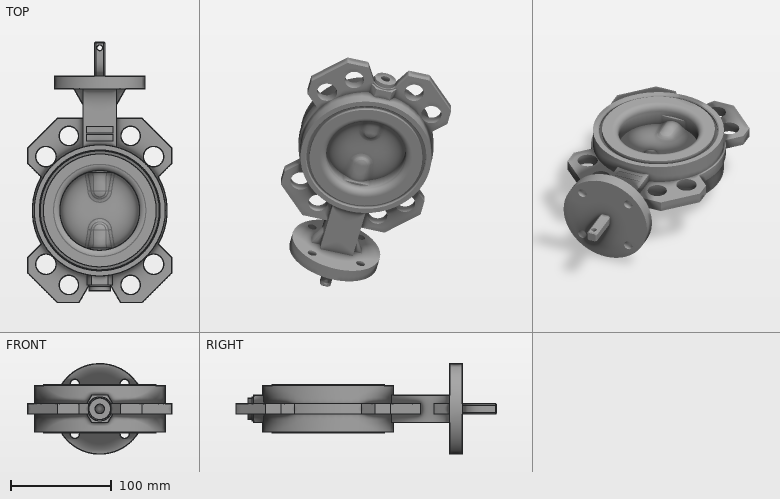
import cadquery as cq
import math


BODY_RADIUS = 65.0
BODY_HEIGHT = 46.2
PLATE_THICKNESS = 10.4
PLATE_RIM_RADIUS = 67.0
PLATE_HALF_WIDTH = 71.5
PLATE_HALF_LENGTH = 91.5
LUG_TOP_HALF_WIDTH = 42.0
LUG_SIDE_OUTER_Y = PLATE_HALF_LENGTH - (PLATE_HALF_WIDTH - LUG_TOP_HALF_WIDTH)
LUG_SIDE_INNER_Y = 46.6
WAIST_HALF_WIDTH = 56.0
NOTCH_HALF_WIDTH = 20.6
NOTCH_SLOPE = math.radians(60)

STEEP_HOLE_ANGLE = 67.5
STEEP_HOLE_PITCH_RADIUS = 80.0
STEEP_HOLE_DIAMETER = 19.0
DIAGONAL_HOLE_ANGLE = 45.0
DIAGONAL_HOLE_PITCH_RADIUS = 75.5
DIAGONAL_HOLE_DIAMETER = 20.0

LINER_RADIUS = 56.0
LINER_HEIGHT = 48.0
GROOVE_RADIUS = 59.0
GROOVE_DEPTH = 3.0
GROOVE_CHAMFER = 1.0
BORE_RADIUS = 39.6
BORE_LIP_RADIUS = 6.2
SEAT_FLAT_Y = 37.4
SEAT_FLAT_TOP = 12.7

DISC_EDGE_HEIGHT = 2.4
DISC_CROWN_HEIGHT = 4.2
DISC_OVERLAP = 1.0
HUB_NOSE_Y = 19.4
HUB_FILLET = 5.0
HUB_WALL = {"foot": 16.6, "shoulder": 6.6, "shoulder_height": 7.6, "crown_height": 9.4}
HUB_NOSE = {"foot": 14.4, "shoulder": 6.0, "shoulder_height": 7.0, "crown_height": 8.6}

NECK_WIDTH = 33.6
NECK_THICKNESS = 27.5
FLANGE_RADIUS = 45.0
FLANGE_THICKNESS = 12.7
FLANGE_FACE_Y = 133.2
FLANGE_BACK_Y = FLANGE_FACE_Y - FLANGE_THICKNESS
FLANGE_HOLE_PITCH_RADIUS = 35.0
FLANGE_HOLE_COUNT = 4
FLANGE_HOLE_START_ANGLE = 45
FLANGE_HOLE_DIAMETER = 9.0
GUSSET_REACH = 8.8
GUSSET_LENGTH = 15.4
LABEL_WIDTH = 26.0
LABEL_DEPTH = 0.5
LABEL_HEIGHT = 6.2
LABEL_CENTRES_Y = (72.0, 80.1)

STEM_WIDTH = 10.6
STEM_CORNER_CHAMFER = 1.75
STEM_TIP_CHAMFER = 1.0
STEM_END_Y = 167.0
STEM_HOLE_Y = 161.3
STEM_HOLE_DIAMETER = 5.5

HEX_ACROSS_FLATS = 27.5
HEX_END_Y = -74.0
PLUG_RADIUS = 10.7
PLUG_END_Y = -79.7
COLLAR_RADIUS = 12.0
COLLAR_LENGTH = 1.4
SOCKET_DIAMETER = 9.3
SOCKET_DEPTH = 10.0


def cylinder_z(radius, height):
    return cq.Workplane("XY").circle(radius).extrude(height / 2, both=True)


def along_y(start_y):
    """Plane facing +Y at the given Y; local x is X and local y is -Z."""
    return cq.Workplane("ZX", origin=(0, start_y, 0)).transformed(rotate=(0, 0, 90))


def make_plate():
    notch_rise = NOTCH_HALF_WIDTH * math.tan(NOTCH_SLOPE)
    side_run = PLATE_HALF_WIDTH - WAIST_HALF_WIDTH
    waist_y = LUG_SIDE_INNER_Y - side_run
    right_side = [
        (NOTCH_HALF_WIDTH, -PLATE_HALF_LENGTH),
        (LUG_TOP_HALF_WIDTH, -PLATE_HALF_LENGTH),
        (PLATE_HALF_WIDTH, -LUG_SIDE_OUTER_Y),
        (PLATE_HALF_WIDTH, -LUG_SIDE_INNER_Y),
        (WAIST_HALF_WIDTH, -waist_y),
        (WAIST_HALF_WIDTH, waist_y),
        (PLATE_HALF_WIDTH, LUG_SIDE_INNER_Y),
        (PLATE_HALF_WIDTH, LUG_SIDE_OUTER_Y),
        (LUG_TOP_HALF_WIDTH, PLATE_HALF_LENGTH),
    ]
    left_side = [(-x, y) for x, y in reversed(right_side)]
    notch_peak = (0, notch_rise - PLATE_HALF_LENGTH)
    outline = cq.Workplane("XY").polyline([notch_peak] + right_side + left_side).close()
    plate = outline.extrude(PLATE_THICKNESS / 2, both=True)
    return plate.union(cylinder_z(PLATE_RIM_RADIUS, PLATE_THICKNESS))


def lug_holes(angle, pitch_radius, diameter):
    x = pitch_radius * math.cos(math.radians(angle))
    y = pitch_radius * math.sin(math.radians(angle))
    centres = cq.Workplane("XY").rect(2 * x, 2 * y, forConstruction=True).vertices()
    return centres.circle(diameter / 2).extrude(PLATE_THICKNESS, both=True)


def make_neck():
    centre_y = FLANGE_BACK_Y / 2
    neck = cq.Workplane("XY").box(NECK_WIDTH, FLANGE_BACK_Y, NECK_THICKNESS)
    neck = neck.translate((0, centre_y, 0))
    for label_y in LABEL_CENTRES_Y:
        label = cq.Workplane("XY").box(LABEL_WIDTH, LABEL_HEIGHT, 2 * LABEL_DEPTH)
        neck = neck.cut(label.translate((0, label_y, NECK_THICKNESS / 2)))
    gusset_outline = [
        (NECK_WIDTH / 2 + GUSSET_REACH, FLANGE_BACK_Y),
        (NECK_WIDTH / 2, FLANGE_BACK_Y - GUSSET_LENGTH),
        (-NECK_WIDTH / 2, FLANGE_BACK_Y - GUSSET_LENGTH),
        (-NECK_WIDTH / 2 - GUSSET_REACH, FLANGE_BACK_Y),
    ]
    gussets = cq.Workplane("XY").polyline(gusset_outline).close().extrude(PLATE_THICKNESS / 2, both=True)
    return neck.union(gussets)


def make_flange():
    flange = along_y(FLANGE_BACK_Y).circle(FLANGE_RADIUS).extrude(FLANGE_THICKNESS)
    holes = along_y(FLANGE_BACK_Y).polarArray(
        FLANGE_HOLE_PITCH_RADIUS, FLANGE_HOLE_START_ANGLE, 360, FLANGE_HOLE_COUNT
    )
    return flange.cut(holes.circle(FLANGE_HOLE_DIAMETER / 2).extrude(FLANGE_THICKNESS))


def make_stem():
    length = STEM_END_Y - FLANGE_BACK_Y
    stem = along_y(FLANGE_BACK_Y).rect(STEM_WIDTH, STEM_WIDTH).extrude(length)
    stem = stem.edges("|Y").chamfer(STEM_CORNER_CHAMFER)
    stem = stem.faces(">Y").chamfer(STEM_TIP_CHAMFER)
    hole = cylinder_z(STEM_HOLE_DIAMETER / 2, 2 * STEM_WIDTH)
    return stem.cut(hole.translate((0, STEM_HOLE_Y, 0)))


def make_bottom_boss():
    hex_diameter = HEX_ACROSS_FLATS / math.cos(math.radians(30))
    boss = along_y(HEX_END_Y).polygon(6, hex_diameter).extrude(-LINER_RADIUS - HEX_END_Y)
    plug = along_y(PLUG_END_Y).circle(PLUG_RADIUS).extrude(HEX_END_Y - PLUG_END_Y)
    collar = along_y(HEX_END_Y - COLLAR_LENGTH).circle(COLLAR_RADIUS).extrude(COLLAR_LENGTH)
    return boss.union(plug).union(collar)


def plug_socket():
    return along_y(PLUG_END_Y).circle(SOCKET_DIAMETER / 2).extrude(SOCKET_DEPTH)


def face_groove():
    """Cutter for the ring groove around the upper liner face, with a chamfered outer edge."""
    top = BODY_HEIGHT / 2
    outline = [
        (LINER_RADIUS, top - GROOVE_DEPTH),
        (GROOVE_RADIUS, top - GROOVE_DEPTH),
        (GROOVE_RADIUS, top - GROOVE_CHAMFER),
        (GROOVE_RADIUS + GROOVE_CHAMFER, top),
        (LINER_RADIUS, top),
    ]
    return cq.Workplane("XZ").polyline(outline).close().revolve(360, (0, 0, 0), (0, 1, 0))


def bore_cutter():
    """Cutter for the bore with rounded lips; the flats beside the hubs are left standing."""
    top = LINER_HEIGHT / 2
    lip = BORE_LIP_RADIUS
    flare = BORE_RADIUS + lip
    mid = lip * math.sqrt(0.5)
    profile = (
        cq.Workplane("XZ")
        .moveTo(0, -top)
        .lineTo(flare, -top)
        .threePointArc((flare - mid, -top + lip - mid), (BORE_RADIUS, -top + lip))
        .lineTo(BORE_RADIUS, top - lip)
        .threePointArc((flare - mid, top - lip + mid), (flare, top))
        .lineTo(0, top)
        .close()
    )
    opening = profile.revolve(360, (0, 0, 0), (0, 1, 0))
    for side in (1, -1):
        flat = cq.Workplane("XY").box(2 * BORE_RADIUS, flare - SEAT_FLAT_Y, 2 * SEAT_FLAT_TOP)
        opening = opening.cut(flat.translate((0, side * (SEAT_FLAT_Y + flare) / 2, 0)))
    return opening


def hub_profile(plane, foot, shoulder, shoulder_height, crown_height):
    """Crowned section with sloping flanks, standing on the disc mid plane."""
    return (
        plane.moveTo(-foot, 0)
        .lineTo(-shoulder, shoulder_height)
        .threePointArc((0, crown_height), (shoulder, shoulder_height))
        .lineTo(foot, 0)
        .close()
    )


def make_hub():
    """Upper half of the hub on the +Y side, tapering to a round nose."""
    section = hub_profile(cq.Workplane("XZ", origin=(0, HUB_NOSE_Y, 0)), **HUB_NOSE)
    section = section.workplane(offset=HUB_NOSE_Y - BORE_RADIUS)
    tapered = hub_profile(section, **HUB_WALL).loft(ruled=True)
    crown_rise = HUB_NOSE["crown_height"] - HUB_NOSE["shoulder_height"]
    crown_radius = (HUB_NOSE["shoulder"] ** 2 + crown_rise**2) / (2 * crown_rise)
    nose = (
        cq.Workplane("XZ", origin=(0, HUB_NOSE_Y, 0))
        .lineTo(HUB_NOSE["foot"], 0)
        .lineTo(HUB_NOSE["shoulder"], HUB_NOSE["shoulder_height"])
        .radiusArc((0, HUB_NOSE["crown_height"]), -crown_radius)
        .close()
        .revolve(360, (0, 0, 0), (0, 1, 0))
    )
    return tapered.union(nose)


def make_disc():
    """Domed disc filling the bore, with filleted hubs on both faces."""
    radius = BORE_RADIUS + DISC_OVERLAP
    crown_rise = DISC_CROWN_HEIGHT - DISC_EDGE_HEIGHT
    dome_radius = (radius**2 + crown_rise**2) / (2 * crown_rise)
    dome = (
        cq.Workplane("XZ")
        .lineTo(radius, 0)
        .lineTo(radius, DISC_EDGE_HEIGHT)
        .radiusArc((0, DISC_CROWN_HEIGHT), -dome_radius)
        .close()
        .revolve(360, (0, 0, 0), (0, 1, 0))
    )
    hub = make_hub()
    half = dome.union(hub).union(hub.mirror("XZ"))
    foot_zone = cq.selectors.BoxSelector(
        (-HUB_WALL["foot"], -SEAT_FLAT_Y, DISC_EDGE_HEIGHT),
        (HUB_WALL["foot"], SEAT_FLAT_Y, DISC_CROWN_HEIGHT),
    )
    half = half.edges(foot_zone).fillet(HUB_FILLET)
    return half.union(half.mirror("XY"))


body = make_plate()
body = body.cut(lug_holes(STEEP_HOLE_ANGLE, STEEP_HOLE_PITCH_RADIUS, STEEP_HOLE_DIAMETER))
body = body.cut(lug_holes(DIAGONAL_HOLE_ANGLE, DIAGONAL_HOLE_PITCH_RADIUS, DIAGONAL_HOLE_DIAMETER))
body = body.union(cylinder_z(BODY_RADIUS, BODY_HEIGHT)).union(make_neck()).union(make_bottom_boss())
body = body.union(cylinder_z(LINER_RADIUS, LINER_HEIGHT))
groove = face_groove()
body = body.cut(groove).cut(groove.mirror("XY"))
body = body.cut(bore_cutter()).cut(plug_socket())
body = body.union(make_flange()).union(make_stem())
result = body.union(make_disc())